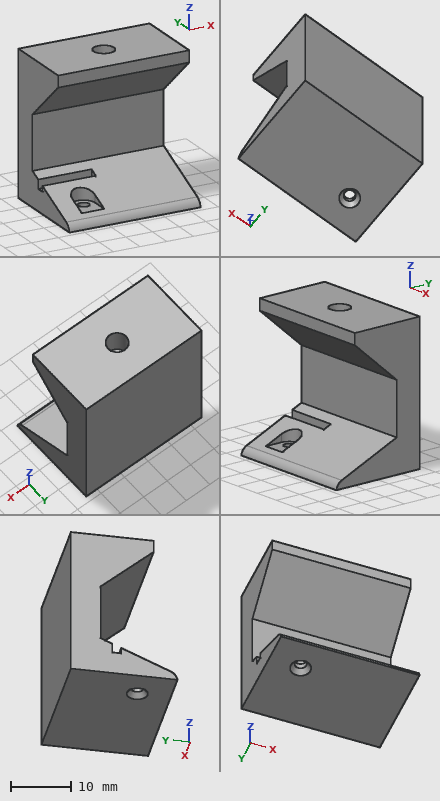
import cadquery as cq
import math

LENGTH = 24.6
HEIGHT = 26.5
BASE_DEPTH = 18.0

TOP_DEPTH = 14.0
LIP_THICKNESS = 2.15
WALL_THICKNESS = 5.0
WALL_BOTTOM_Z = 6.52
WALL_HEIGHT = 10.0
RAMP_ANGLE = math.radians(23)
NOSE_START_DEPTH = 16.8

TOP_HOLE_DIAMETER = 3.8
TOP_HOLE_DEPTH = 5.0

SLOT_LENGTH = 10.0
SLOT_WIDTH = 1.5
SLOT_BACK_DEPTH = 7.0
SLOT_FLOOR_Z = 4.0

POCKET_X = 5.67
POCKET_WIDTH = 4.2
POCKET_FLOOR_Z = 2.0
SCREW_DEPTH = 12.35
SCREW_HOLE_DIAMETER = 2.0
FLARE_DIAMETER = 3.5
FLARE_HEIGHT = 1.0


def ramp_height(depth):
    """Height of the ramp surface at a given distance from the back face."""
    return WALL_BOTTOM_Z - (depth - WALL_THICKNESS) * math.tan(RAMP_ANGLE)


def make_body():
    """C-shaped profile in the YZ plane, extruded along the full length."""
    return (
        cq.Workplane("YZ")
        .moveTo(0, 0)
        .lineTo(0, HEIGHT)
        .lineTo(-TOP_DEPTH, HEIGHT)
        .lineTo(-TOP_DEPTH, HEIGHT - LIP_THICKNESS)
        .lineTo(-WALL_THICKNESS, WALL_BOTTOM_Z + WALL_HEIGHT)
        .lineTo(-WALL_THICKNESS, WALL_BOTTOM_Z)
        .lineTo(-NOSE_START_DEPTH, ramp_height(NOSE_START_DEPTH))
        .tangentArcPoint((-BASE_DEPTH, 0), relative=False)
        .close()
        .extrude(LENGTH)
    )


def make_top_hole():
    """Blind hole at the centre of the top face."""
    return (
        cq.Workplane("XY", origin=(LENGTH / 2, -TOP_DEPTH / 2, HEIGHT - TOP_HOLE_DEPTH))
        .circle(TOP_HOLE_DIAMETER / 2)
        .extrude(TOP_HOLE_DEPTH)
    )


def make_ramp_slot():
    """Straight slot that runs in from the left end and opens upward."""
    slot_height = ramp_height(SLOT_BACK_DEPTH) - SLOT_FLOOR_Z
    return (
        cq.Workplane("XY", origin=(0, -SLOT_BACK_DEPTH, SLOT_FLOOR_Z))
        .rect(SLOT_LENGTH, -SLOT_WIDTH, centered=False)
        .extrude(slot_height)
    )


def make_screw_pocket():
    """Flat-floored pocket with a round back that opens out through the ramp."""
    radius = POCKET_WIDTH / 2
    front = SCREW_DEPTH - BASE_DEPTH
    pocket_height = ramp_height(SCREW_DEPTH - radius) - POCKET_FLOOR_Z
    return (
        cq.Workplane("XY", origin=(POCKET_X, -SCREW_DEPTH, POCKET_FLOOR_Z))
        .moveTo(-radius, front)
        .lineTo(-radius, 0)
        .threePointArc((0, radius), (radius, 0))
        .lineTo(radius, front)
        .close()
        .extrude(pocket_height)
    )


def make_screw_hole():
    """Through hole in the pocket floor, widening conically to the base."""
    hole = (
        cq.Workplane("XY", origin=(POCKET_X, -SCREW_DEPTH, 0))
        .circle(SCREW_HOLE_DIAMETER / 2)
        .extrude(POCKET_FLOOR_Z)
    )
    flare = (
        cq.Workplane("XY", origin=(POCKET_X, -SCREW_DEPTH, 0))
        .circle(FLARE_DIAMETER / 2)
        .workplane(offset=FLARE_HEIGHT)
        .circle(SCREW_HOLE_DIAMETER / 2)
        .loft()
    )
    return hole.union(flare)


result = (
    make_body()
    .cut(make_top_hole())
    .cut(make_ramp_slot())
    .cut(make_screw_pocket())
    .cut(make_screw_hole())
)